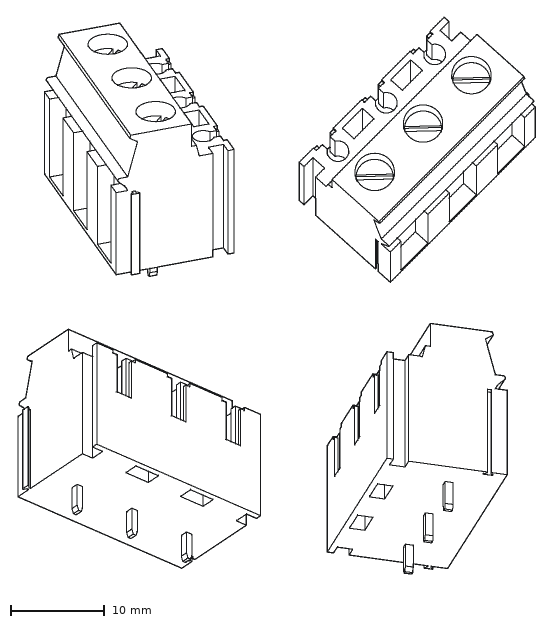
import cadquery as cq


POLE_COUNT = 3
TOTAL_LENGTH = 23.1
RAIL_LENGTH = 0.6
HOUSING_LENGTH = TOTAL_LENGTH - RAIL_LENGTH
PITCH = HOUSING_LENGTH / POLE_COUNT
POLE_CENTRES = [(index + 0.5) * PITCH for index in range(POLE_COUNT)]
POLE_BORDERS = [index * PITCH for index in range(1, POLE_COUNT)]
DEPTH = 13.4
HEIGHT = 16.98

FRONT_LEDGE_Z = 10.19
BACK_LEDGE_Z = 12.85
STEP_FOOT_Y = 9.45
STEP_TOP_Y = 9.1
STEP_Z = 14.2
TOWER_BACK_Y = 8.57
TOP_FRONT_Y = 1.66
TOP_LIP_Y = 1.55
TOP_LIP_Z = 16.6
UPPER_NOTCH_Y = 2.43
UPPER_NOTCH_Z = 16.0
SLOPE_FOOT_Y = 1.32
NOSE_TOP_Z = 11.87
NOSE_FLAT_END_Y = 0.46
NOSE_TIP_Y = 0.2
NOSE_TIP_Z = 11.62
NOSE_UNDER_Y = 0.32
NOSE_UNDER_Z = 11.4
UNDERCUT_BEND_Y = 1.06
UNDERCUT_BEND_Z = 10.67

POCKET_WIDTH = 4.18
POCKET_DEPTH = 1.85
POCKET_FLOOR_Z = 0.53

BACK_WALL = 0.72
CHANNEL_FRONT_Y = 10.97
CHANNEL_WIDTH = 3.1
END_CHANNEL_WIDTH = 1.39

KEYHOLE_DIAMETER = 2.3
KEYHOLE_Y = 11.25
KEYHOLE_NECK = 1.2
KEYHOLE_DEPTH = 5.08
MOUTH_DEPTH = 0.42
MOUTH_WIDTH = 2.0
SHELF_WIDTH = 3.07
SHELF_DEPTH = 0.4

RAIL_Y = 1.99
RAIL_HEIGHT = 9.98
RAIL_NECK_WIDTH = 0.35
RAIL_HEAD_WIDTH = 0.97
RAIL_NECK_LENGTH = 0.2
RAIL_FLARE_END = 0.5
GROOVE_CLEARANCE = 0.035

SCREW_Y = 5.85
SCREW_HOLE_DIAMETER = 4.2
SCREW_DIAMETER = 3.97
SCREW_RECESS = 1.7
SCREW_HEIGHT = 1.85
SCREW_SLOT_WIDTH = 0.55
SCREW_SLOT_DEPTH = 0.58
SCREW_SLOT_ANGLE = -45.0

PIN_WIDTH = 0.76
PIN_THICKNESS = 0.88
PIN_Y = 5.47
PIN_LENGTH = 3.2
PIN_TAPER_LENGTH = 0.58
PIN_TIP_WIDTH = 0.37


def box(x_start, x_end, y_start, y_end, z_start, z_end):
    """Return a block that fills the given ranges."""
    size = (x_end - x_start, y_end - y_start, z_end - z_start)
    return cq.Workplane("XY").box(*size, centered=False).translate((x_start, y_start, z_start))


def housing_blank():
    """Return the end profile run along the full housing length."""
    return (
        cq.Workplane("YZ")
        .moveTo(0, 0)
        .lineTo(DEPTH, 0)
        .lineTo(DEPTH, BACK_LEDGE_Z)
        .lineTo(STEP_FOOT_Y, BACK_LEDGE_Z)
        .lineTo(STEP_TOP_Y, STEP_Z)
        .lineTo(TOWER_BACK_Y, STEP_Z)
        .lineTo(TOWER_BACK_Y, HEIGHT)
        .lineTo(TOP_FRONT_Y, HEIGHT)
        .lineTo(TOP_LIP_Y, TOP_LIP_Z)
        .lineTo(UPPER_NOTCH_Y, UPPER_NOTCH_Z)
        .lineTo(SLOPE_FOOT_Y, NOSE_TOP_Z)
        .lineTo(NOSE_FLAT_END_Y, NOSE_TOP_Z)
        .threePointArc((NOSE_TIP_Y, NOSE_TIP_Z), (NOSE_UNDER_Y, NOSE_UNDER_Z))
        .lineTo(UNDERCUT_BEND_Y, UNDERCUT_BEND_Z)
        .lineTo(SLOPE_FOOT_Y, FRONT_LEDGE_Z)
        .lineTo(0, FRONT_LEDGE_Z)
        .close()
        .extrude(HOUSING_LENGTH)
    )


def front_pocket(x):
    """Return the pocket of one pole, open to the front and to the ledge above."""
    half = POCKET_WIDTH / 2
    return box(x - half, x + half, 0, POCKET_DEPTH, POCKET_FLOOR_Z, FRONT_LEDGE_Z)


def back_channel(x_start, x_end):
    """Return a full-height channel just in front of the back wall."""
    return box(x_start, x_end, CHANNEL_FRONT_Y, DEPTH - BACK_WALL, 0, BACK_LEDGE_Z)


def keyhole(x):
    """Return the blind keyhole of one pole, with a shelf on each side of its mouth."""
    floor_z = BACK_LEDGE_Z - KEYHOLE_DEPTH
    shelf_z = BACK_LEDGE_Z - SHELF_DEPTH
    mouth_y = DEPTH - MOUTH_DEPTH
    bore = (
        cq.Workplane("XY", origin=(x, KEYHOLE_Y, floor_z))
        .circle(KEYHOLE_DIAMETER / 2)
        .extrude(KEYHOLE_DEPTH)
    )
    neck = box(x - KEYHOLE_NECK / 2, x + KEYHOLE_NECK / 2, KEYHOLE_Y, DEPTH, floor_z, BACK_LEDGE_Z)
    mouth = box(x - MOUTH_WIDTH / 2, x + MOUTH_WIDTH / 2, mouth_y, DEPTH, floor_z, BACK_LEDGE_Z)
    shelf = box(x - SHELF_WIDTH / 2, x + SHELF_WIDTH / 2, mouth_y, DEPTH, shelf_z, BACK_LEDGE_Z)
    return bore.union(neck).union(mouth).union(shelf)


def rail(x, clearance):
    """Return a flared rail that grows along +X from x, widened on each side by the clearance."""
    neck = RAIL_NECK_WIDTH / 2 + clearance
    head = RAIL_HEAD_WIDTH / 2 + clearance
    return (
        cq.Workplane("XY", origin=(x, RAIL_Y, 0))
        .moveTo(0, -neck)
        .lineTo(RAIL_NECK_LENGTH, -neck)
        .lineTo(RAIL_FLARE_END, -head)
        .lineTo(RAIL_LENGTH, -head)
        .lineTo(RAIL_LENGTH, head)
        .lineTo(RAIL_FLARE_END, head)
        .lineTo(RAIL_NECK_LENGTH, neck)
        .lineTo(0, neck)
        .close()
        .extrude(RAIL_HEIGHT)
    )


def screw_hole(x):
    """Return the blind hole of one screw, as deep as the underside of the screw."""
    depth = SCREW_RECESS + SCREW_HEIGHT
    return (
        cq.Workplane("XY", origin=(x, SCREW_Y, HEIGHT - depth))
        .circle(SCREW_HOLE_DIAMETER / 2)
        .extrude(depth)
    )


def make_housing():
    """Return the housing with all its pockets, holes and the joining rail."""
    body = housing_blank()
    for x in POLE_CENTRES:
        body = body.cut(front_pocket(x)).cut(keyhole(x)).cut(screw_hole(x))
    for x in POLE_BORDERS:
        body = body.cut(back_channel(x - CHANNEL_WIDTH / 2, x + CHANNEL_WIDTH / 2))
    body = body.cut(back_channel(0, END_CHANNEL_WIDTH))
    body = body.cut(back_channel(HOUSING_LENGTH - END_CHANNEL_WIDTH, HOUSING_LENGTH))
    body = body.cut(rail(0, GROOVE_CLEARANCE))
    return body.union(rail(HOUSING_LENGTH, 0))


def make_screw(x):
    """Return one slotted screw head, standing on the floor of its hole."""
    top_z = HEIGHT - SCREW_RECESS
    head = (
        cq.Workplane("XY", origin=(x, SCREW_Y, top_z - SCREW_HEIGHT))
        .circle(SCREW_DIAMETER / 2)
        .extrude(SCREW_HEIGHT)
    )
    slot = (
        cq.Workplane("XY", origin=(x, SCREW_Y, top_z - SCREW_SLOT_DEPTH))
        .transformed(rotate=(0, 0, SCREW_SLOT_ANGLE))
        .rect(SCREW_HOLE_DIAMETER, SCREW_SLOT_WIDTH)
        .extrude(SCREW_SLOT_DEPTH)
    )
    return head.cut(slot)


def make_pin(x):
    """Return one pin that hangs from the underside and narrows toward its tip."""
    half = PIN_WIDTH / 2
    tip_half = PIN_TIP_WIDTH / 2
    taper_z = PIN_TAPER_LENGTH - PIN_LENGTH
    return (
        cq.Workplane("XZ", origin=(x, PIN_Y + PIN_THICKNESS / 2, 0))
        .moveTo(-half, 0)
        .lineTo(-half, taper_z)
        .lineTo(-tip_half, -PIN_LENGTH)
        .lineTo(tip_half, -PIN_LENGTH)
        .lineTo(half, taper_z)
        .lineTo(half, 0)
        .close()
        .extrude(PIN_THICKNESS)
    )


housing = make_housing()
screws = [make_screw(x) for x in POLE_CENTRES]
pins = [make_pin(x) for x in POLE_CENTRES]

result = cq.Compound.makeCompound(
    [housing.val(), *[screw.val() for screw in screws], *[pin.val() for pin in pins]]
)